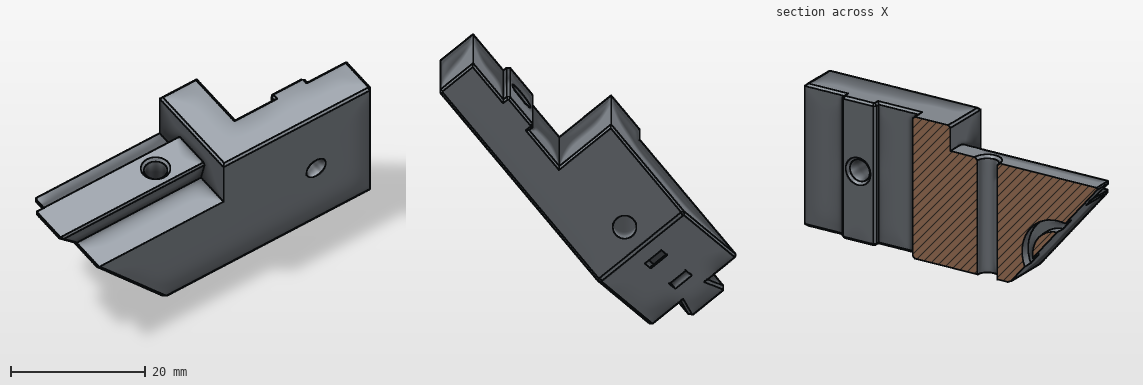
import cadquery as cq
import math

width = 16.6
length = 53.1
height = 23.0
chamfer = 0.35

step_y = 26.1
shoulder_z = 14.85
rail_top_z = 18.9
rail_top_width = 6.95
rail_flank_angle = 14.0
nose_angle = 40.0
nose_slope = math.radians(nose_angle)
nose_tip_y = -chamfer * math.sin(nose_slope)
nose_foot_y = nose_tip_y + rail_top_z * math.tan(nose_slope)

block_rear_y = 32.85
plate_x = 10.0
tongue_x = 9.0
tongue_front_y = 39.95
tongue_rear_y = 46.0
tongue_center_y = (tongue_front_y + tongue_rear_y) / 2

hole_diameter = 3.5
countersink_diameter = 4.4
countersink_angle = 90
rail_hole_y = 19.6

tunnel_width = 3.2
tunnel_outer_radius = 6.3
tunnel_inner_radius = 4.5
tunnel_middle_z = 7.5
tunnel_offset = 3.0
tunnel_center_y = (
    nose_foot_y - tunnel_middle_z * math.tan(nose_slope) - tunnel_offset * math.cos(nose_slope)
)
tunnel_center_z = tunnel_middle_z - tunnel_offset * math.sin(nose_slope)


def make_block():
    """Block and plate with chamfered top and bottom outlines."""
    outline = [
        (0, nose_tip_y),
        (width, nose_tip_y),
        (width, length),
        (plate_x, length),
        (plate_x, tongue_rear_y),
        (tongue_x, tongue_rear_y),
        (tongue_x, tongue_front_y),
        (plate_x, tongue_front_y),
        (plate_x, block_rear_y),
        (0, block_rear_y),
    ]
    block = cq.Workplane("XY").polyline(outline).close().extrude(height)
    clearance = cq.Workplane("XY").box(
        width, step_y - nose_tip_y, height - rail_top_z, centered=False
    ).translate((0, nose_tip_y, rail_top_z))
    block = block.cut(clearance)
    vertical_edges = [
        (width, length),
        (tongue_x, tongue_front_y),
        (tongue_x, tongue_rear_y),
    ]
    for x, y in vertical_edges:
        block = block.edges(cq.NearestToPointSelector((x, y, height / 2))).chamfer(chamfer)
    return block.faces(">Z or <Z").edges().chamfer(chamfer)


def nose_side_cutter(side):
    """Material beside the rail; side is -1 for -X and +1 for +X."""
    flank = math.tan(math.radians(rail_flank_angle))
    top_half = rail_top_width / 2
    root_half = top_half - (rail_top_z - shoulder_z) * flank
    center = width / 2
    profile = [
        (center + side * width, shoulder_z),
        (center + side * root_half, shoulder_z),
        (center + side * (top_half - chamfer * flank), rail_top_z - chamfer),
        (center + side * (top_half - chamfer), rail_top_z),
        (center + side * width, rail_top_z),
    ]
    return (
        cq.Workplane("XZ", origin=(0, step_y, 0))
        .polyline(profile)
        .close()
        .extrude(step_y - nose_tip_y)
    )


def make_nose_cutter():
    """Wedge removed in front of the sloping nose face."""
    return (
        cq.Workplane("YZ")
        .polyline([(nose_tip_y, 0), (nose_foot_y, 0), (nose_tip_y, rail_top_z)])
        .close()
        .extrude(width)
    )


def make_tunnel():
    """Ring centered ahead of the nose face, so only an arc of it enters the body."""
    return (
        cq.Workplane("YZ", origin=(width / 2, tunnel_center_y, tunnel_center_z))
        .circle(tunnel_outer_radius)
        .circle(tunnel_inner_radius)
        .extrude(tunnel_width / 2, both=True)
    )


body = make_block()
for side in (-1, 1):
    body = body.cut(nose_side_cutter(side))
body = body.cut(make_nose_cutter())

nose_normal = cq.Vector(0, -math.cos(nose_slope), -math.sin(nose_slope))
body = body.faces(cq.selectors.ParallelDirSelector(nose_normal)).edges().chamfer(chamfer)
body = body.cut(make_tunnel())

rail_plane = cq.Plane(origin=(width / 2, rail_hole_y, rail_top_z))

tongue_plane = cq.Plane(
    origin=(tongue_x, tongue_center_y, height / 2), xDir=(0, 1, 0), normal=(-1, 0, 0)
)

for plane in (rail_plane, tongue_plane):
    body = body.copyWorkplane(cq.Workplane(plane)).cskHole(
        hole_diameter, countersink_diameter, countersink_angle
    )

result = body